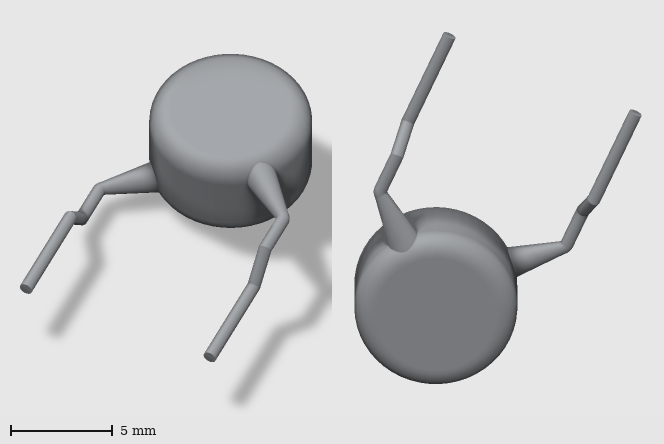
import cadquery as cq
import math


disc_diameter = 8.0
disc_thickness = 5.0
disc_edge_radius = 1.0

lead_spacing = 10.0
lead_diameter = 0.65
lead_tip_y = -12.8
crimp_start_y = -6.5
crimp_end_y = -7.8
elbow_y = -4.57
elbow_bend_radius = 0.34

neck_radius_at_disc = 0.75
neck_embed = 1.35

disc_radius = disc_diameter / 2
lead_radius = lead_diameter / 2
lead_x = lead_spacing / 2
lead_z = disc_thickness / 2 - disc_edge_radius
pivot_x = lead_x - elbow_bend_radius

pivot_distance = math.hypot(pivot_x, elbow_y)
neck_angle = math.acos(elbow_bend_radius / pivot_distance) - math.atan2(pivot_x, -elbow_y)
neck_end = math.sqrt(pivot_distance**2 - elbow_bend_radius**2)
elbow_sweep = 90 - math.degrees(neck_angle)


def make_disc():
    """Round disc with both rims fully rounded over."""
    return (
        cq.Workplane("XY")
        .cylinder(disc_thickness, disc_radius)
        .edges("%CIRCLE")
        .fillet(disc_edge_radius)
    )


def make_neck(disc):
    """Cone on the +X side tapering from the disc to the lead, trimmed to the disc surface."""
    taper = (neck_radius_at_disc - lead_radius) / (neck_end - disc_radius)
    neck_start = disc_radius - neck_embed
    start_radius = neck_radius_at_disc + taper * neck_embed
    direction = cq.Vector(math.cos(neck_angle), -math.sin(neck_angle), 0)
    cone = cq.Solid.makeCone(
        start_radius,
        lead_radius,
        neck_end - neck_start,
        pnt=direction * neck_start + cq.Vector(0, 0, lead_z),
        dir=direction,
    )
    return cq.Workplane(cone).cut(disc)


def lead_section():
    """Wire cross-section where the elbow meets the straight lead."""
    return cq.Workplane("XZ", origin=(lead_x, elbow_y, lead_z)).circle(lead_radius)


def make_lead():
    """Upper lead on the +X side: elbow, straight, crimp to mid-height, straight to the tip."""
    elbow = lead_section().revolve(
        elbow_sweep,
        (-elbow_bend_radius, 0, 0),
        (-elbow_bend_radius, 1, 0),
    )
    path = cq.Workplane("YZ", origin=(lead_x, 0, 0)).polyline(
        [
            (elbow_y, lead_z),
            (crimp_start_y, lead_z),
            (crimp_end_y, 0),
            (lead_tip_y, 0),
        ]
    )
    wire = lead_section().sweep(path, transition="right")
    return wire.union(elbow)


disc = make_disc()
neck = make_neck(disc)
lead = make_lead()

necks = []
leads = []
for turn in (0, 180):
    necks.append(neck.rotate((0, 0, 0), (0, 1, 0), turn).solids().val())
    leads.append(lead.rotate((0, 0, 0), (0, 1, 0), turn).solids().val())

result = cq.Compound.makeCompound([disc.solids().val(), *necks, *leads])